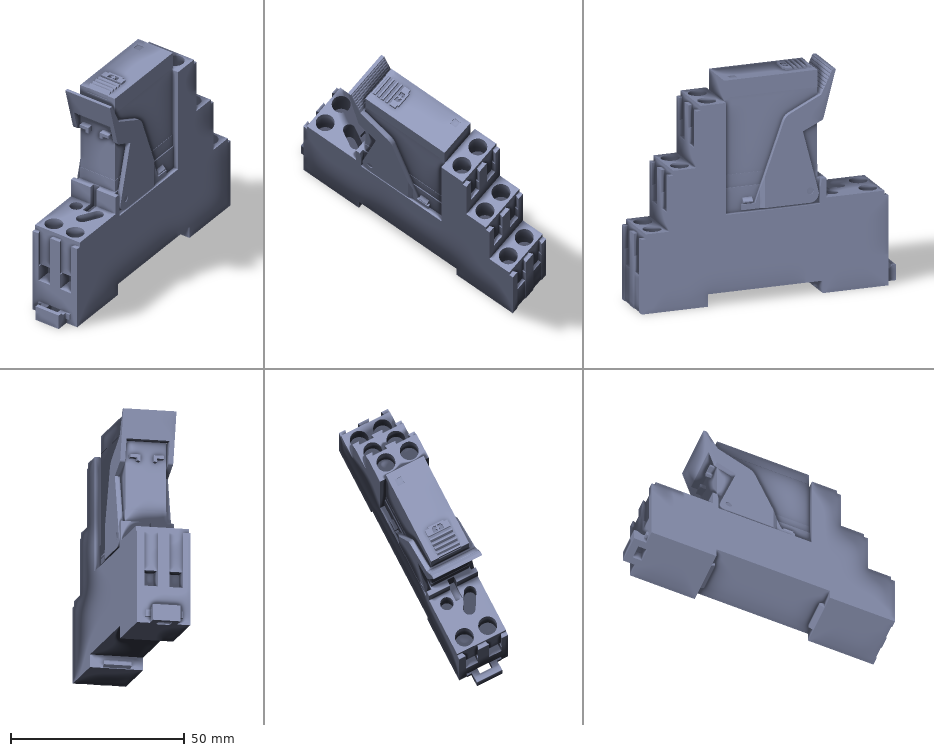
import cadquery as cq
import math

width = 15.8
half_width = width / 2
rear_y = 40.1
front_y = -36.2
lip_depth = 1.3
lip_drop = 1.5
front_terrace_z = 28.85
rear_terraces = [(rear_y, 24.1), (31.6, 42.4), (23.2, 61.1)]
bay_rear_y = 14.0
bay_front_y = -15.2
bay_floor_z = 27.2
wall_front_y = -17.1
wall_top_z = 34.7
wall_slot_width = 2.2
wall_slot_front_y = -20.8
core_half_width = 6.4
rail_rear_y = 19.6
rail_front_y = -15.95
rail_height = 3.8

terminal_x = 3.8
screw_hole_diameter = 5.45
screw_hole_depth = 8.0
screw_setback = 4.8
wire_slot_width = 4.0
wire_slot_inner_width = 5.0
wire_pocket_bottom_z = 11.0
wire_pocket_top_z = 15.9
wire_pocket_depth = 4.8
rear_wire_slot_height = 11.6
rear_groove_depth = 0.25
test_hole_y = -20.3
test_hole_diameter = 3.85
test_slot_width = 3.6
test_slot_end = (1.4, -24.5)

relay_width = 12.3
relay_rear_y = 13.9
relay_front_y = -15.0
relay_base_top_z = 38.6
relay_cap_bottom_z = 62.0
relay_top_z = 67.25
seam_step = 0.1
indicator_x = -3.45
mark_depth = 0.2
indicator_size = 2.2
indicator_y = 10.3
hook_length = 1.8
hook_inner_x = 2.0
hook_outer_x = 5.05
hook_top_z = 54.8
hook_thickness = 1.0

button_top_z = 68.0
button_width = 7.2
button_rear_y = -5.6
button_front_y = -8.2
ridge_count = 4
ridge_pitch = 1.45
ridge_base = 1.0
ridge_crest = 0.5
first_ridge_y = -9.0
corner_notch_x = 2.5
corner_notch_length = 0.5
window_width = 3.4
window_length = 1.8
window_y = -7.05
window_corner = 0.5
cross_width = 1.45
cross_bar = 0.5
button_mark_height = 1.5

lever_bottom_z = 27.8
lever_foot_z = 29.5
lever_foot_rear_y = 8.9
lever_top_z = 67.4
bridge_bottom_z = 59.1
thin_arm_half_width = 7.4
snap_front_y = 5.45
snap_rear_y = 8.4
arm_slope = (2.0, 3.3)
pivot = (-12.0, 31.4)
pivot_diameter = 2.1
elbow_radius = 4.0
heel_radius = 2.65
chin_radius = 0.8
paddle_neck = (-15.5, 60.2)
paddle_tip = (-18.9, lever_top_z)
grip_groove_count = 7
grip_groove_depth = 0.2
grip_side_margin = 0.25
grip_neck_share = 0.12

latch_width = 8.2
latch_tip_y = -40.1
latch_top_z = 4.7
latch_opening_width = 4.0
latch_bar_rear_y = -37.9
latch_recess_depth = 1.1
latch_recess_top_z = 3.85
latch_ear_span = 11.15
latch_ear_depth = 0.6
latch_ear_bottom_z = 1.85


def block(x0, x1, y0, y1, z0, z1):
    """Box given by its limits along each axis."""
    return cq.Workplane("XY").box(x1 - x0, y1 - y0, z1 - z0, centered=False).translate((x0, y0, z0))


def centred_block(size_x, y0, y1, z0, z1):
    """Box symmetric about the YZ plane."""
    return block(-size_x / 2, size_x / 2, y0, y1, z0, z1)


def side_plate(points, x0, x1):
    """Outline given in (y, z), extruded from x0 to x1."""
    return cq.Workplane("YZ").workplane(offset=x0).polyline(points).close().extrude(x1 - x0)


def both_sides(shape):
    """The shape together with its mirror image across the YZ plane."""
    return shape.union(shape.mirror("YZ"))


def stepped_block():
    """Side outline of the housing, with a lip at the end of every terrace."""
    points = [(front_y, 0), (front_y, front_terrace_z - lip_drop)]
    points += [(front_y + lip_depth, front_terrace_z - lip_drop), (front_y + lip_depth, front_terrace_z)]
    points += [(wall_front_y, front_terrace_z), (wall_front_y, wall_top_z), (bay_rear_y, wall_top_z)]
    points.append((bay_rear_y, rear_terraces[-1][1]))
    for outer_y, top_z in reversed(rear_terraces):
        inner_y = outer_y - lip_depth
        points += [(inner_y, top_z), (inner_y, top_z - lip_drop), (outer_y, top_z - lip_drop)]
        lower = [z for _, z in rear_terraces if z < top_z]
        points.append((outer_y, max(lower, default=0)))
    points += [(rail_rear_y, 0), (rail_rear_y, rail_height), (rail_front_y, rail_height), (rail_front_y, 0)]
    return side_plate(points, -half_width, half_width)


def side_bay():
    """Pocket in the flank beside the relay core; its front edge leans forward near the top."""
    points = [
        (bay_rear_y, bay_floor_z),
        (bay_front_y, bay_floor_z),
        (bay_front_y, 32.3),
        (-15.6, wall_top_z),
        (bay_rear_y, wall_top_z),
    ]
    return both_sides(side_plate(points, core_half_width, half_width))


def wire_slot(x, outer_y, inward, shoulder_z, bottom_z, top_z):
    """Slot through a lip: wider at the back above the shoulder, straight below it."""
    outer_half = wire_slot_width / 2
    inner_half = wire_slot_inner_width / 2
    inner_y = outer_y + inward * lip_depth
    outline = [
        (x - outer_half, outer_y),
        (x + outer_half, outer_y),
        (x + inner_half, inner_y),
        (x - inner_half, inner_y),
    ]
    shoulder = cq.Workplane("XY").workplane(offset=shoulder_z)
    flared = shoulder.polyline(outline).close().extrude(top_z - shoulder_z)
    y_low, y_high = sorted((outer_y, inner_y))
    return flared.union(block(x - outer_half, x + outer_half, y_low, y_high, bottom_z, top_z))


def cut_terminals(body):
    """Screw holes, wire slots and wire pockets of every terminal."""
    pocket_height = wire_pocket_top_z - wire_pocket_bottom_z
    for x in (-terminal_x, terminal_x):
        x0 = x - wire_slot_width / 2
        x1 = x + wire_slot_width / 2
        body = body.cut(wire_slot(x, front_y, 1, wire_pocket_top_z, wire_pocket_bottom_z, front_terrace_z))
        pocket_y = front_y + wire_pocket_depth
        body = body.cut(block(x0, x1, front_y, pocket_y, wire_pocket_bottom_z, wire_pocket_top_z))
        body = body.cut(block(x0, x1, rear_y - rear_groove_depth, rear_y, 0, front_terrace_z))
        body = body.cut(screw_hole(x, front_y + screw_setback, front_terrace_z))
        for outer_y, top_z in rear_terraces:
            bottom_z = top_z - lip_drop - rear_wire_slot_height
            body = body.cut(wire_slot(x, outer_y, -1, bottom_z + pocket_height, bottom_z, top_z))
            body = body.cut(screw_hole(x, outer_y - screw_setback, top_z))
    return body


def screw_hole(x, y, top_z):
    hole = cq.Workplane("XY").circle(screw_hole_diameter / 2).extrude(-screw_hole_depth)
    return hole.translate((x, y, top_z))


def cut_test_openings(body):
    """Round hole and slanted slot in the front terrace, and the slot through the front wall."""
    top = cq.Workplane("XY").workplane(offset=front_terrace_z)
    hole = top.center(-terminal_x, test_hole_y).circle(test_hole_diameter / 2).extrude(-screw_hole_depth)
    run_x = terminal_x - test_slot_end[0]
    run_y = test_hole_y - test_slot_end[1]
    slot_length = math.hypot(run_x, run_y) + test_slot_width
    slot_angle = math.degrees(math.atan2(run_y, run_x))
    middle = (test_slot_end[0] + run_x / 2, test_slot_end[1] + run_y / 2)
    slanted = top.center(*middle).slot2D(slot_length, test_slot_width, slot_angle)
    slanted = slanted.extrude(-screw_hole_depth)
    wall_slot = centred_block(wall_slot_width, wall_slot_front_y, bay_front_y, bay_floor_z, wall_top_z)
    return body.cut(hole).cut(slanted).cut(wall_slot)


def rail_catches():
    """Hooked noses that grip the mounting rail at both ends of its channel."""
    rear = [
        (rail_rear_y, 2.25),
        (18.75, 2.2),
        (18.0, 1.7),
        (18.0, 0.7),
        (rail_rear_y, 0.2),
    ]
    front = [
        (rail_front_y, rail_height),
        (-15.4, rail_height),
        (-15.4, 2.5),
        (-14.7, 2.5),
        (-14.7, 1.3),
        (rail_front_y, 0.6),
    ]
    rear_nose = side_plate(rear, -latch_width / 2, latch_width / 2)
    return rear_nose.union(side_plate(front, -latch_width / 2, latch_width / 2))


def latch_recess():
    """Shallow recess in the front face behind the opening of the latch."""
    return centred_block(latch_opening_width, front_y, front_y + latch_recess_depth, 0, latch_recess_top_z)


def rail_latch():
    """Pull tab of the latch: two arms, a raised bar and a pair of ears."""
    profile = [
        (front_y, 0),
        (front_y, rail_height),
        (latch_bar_rear_y, rail_height),
        (-38.9, latch_top_z),
        (latch_tip_y, latch_top_z),
        (latch_tip_y, 0),
    ]
    tab = side_plate(profile, -latch_width / 2, latch_width / 2)
    tab = tab.cut(centred_block(latch_opening_width, latch_bar_rear_y, front_y, 0, latch_top_z))
    ear_x = latch_opening_width / 2
    ear_y = front_y - latch_ear_depth
    ear = block(ear_x, latch_ear_span / 2, ear_y, front_y, latch_ear_bottom_z, rail_height)
    return tab.union(both_sides(ear))


def relay():
    """Plug-in relay: base, slightly narrower case and cap, with two L-shaped hooks in front."""
    base = centred_block(relay_width, relay_front_y, relay_rear_y, wall_top_z, relay_base_top_z)
    case = centred_block(
        relay_width - 2 * seam_step,
        relay_front_y + seam_step,
        relay_rear_y,
        relay_base_top_z,
        relay_cap_bottom_z,
    )
    cap = centred_block(relay_width, relay_front_y, relay_rear_y, relay_cap_bottom_z, relay_top_z)
    indicator = block(
        indicator_x - indicator_size / 2,
        indicator_x + indicator_size / 2,
        indicator_y - indicator_size / 2,
        indicator_y + indicator_size / 2,
        relay_top_z - mark_depth,
        relay_top_z,
    )
    button_mark = centred_block(
        button_width,
        relay_front_y,
        relay_front_y + mark_depth,
        relay_top_z - button_mark_height,
        relay_top_z,
    )
    body = base.union(case).union(cap).cut(indicator).cut(button_mark)
    hook_y = relay_front_y - hook_length
    hook_bottom_z = hook_top_z - hook_thickness
    hook_back_y = relay_front_y + seam_step
    arm = block(hook_inner_x, hook_outer_x, hook_y, hook_back_y, hook_bottom_z, hook_top_z)
    toe_z = hook_bottom_z - hook_thickness
    toe = block(hook_inner_x, hook_inner_x + hook_thickness, hook_y, hook_back_y, toe_z, hook_top_z)
    return body.union(both_sides(arm.union(toe)))


def test_button():
    """Grip pad with a small window, followed by cross ridges that slope down to the front."""
    pad = centred_block(button_width, button_front_y, button_rear_y, relay_top_z, button_top_z)
    notch_y = button_rear_y - corner_notch_length
    notch = block(corner_notch_x, button_width / 2, notch_y, button_rear_y, relay_top_z, button_top_z)
    window_front_y = window_y - window_length / 2
    window_rear_y = window_y + window_length / 2
    window = centred_block(window_width, window_front_y, window_rear_y, relay_top_z, button_top_z)
    window = window.edges("|Z and >Y").chamfer(window_corner)
    bar_front_y = window_y - cross_bar / 2
    bar = centred_block(cross_width, bar_front_y, bar_front_y + cross_bar, relay_top_z, button_top_z)
    stem = centred_block(cross_bar, window_front_y, window_rear_y, relay_top_z, button_top_z)
    pad = pad.cut(both_sides(notch)).cut(window.cut(bar).cut(stem))
    for i in range(ridge_count):
        y = first_ridge_y - i * ridge_pitch
        profile = [
            (y, relay_top_z),
            (y, button_top_z),
            (y - ridge_crest, button_top_z),
            (y - ridge_base, relay_top_z),
        ]
        pad = pad.union(side_plate(profile, -button_width / 2, button_width / 2))
    return pad


def lever_profile(x0, x1):
    """Side outline of the lever from its foot up to the finger paddle."""
    points = [
        (lever_foot_rear_y, lever_bottom_z),
        (lever_foot_rear_y, lever_foot_z),
        (4.8, lever_foot_z),
        (-4.4, 54.8),
        paddle_neck,
        paddle_tip,
        (-19.95, lever_top_z),
        (-16.0, 52.6),
        (-9.8, 49.7),
        (-15.5, lever_bottom_z),
    ]
    plate = side_plate(points, x0, x1)
    elbow, chin, heel = points[3], points[7], points[9]
    for corner, radius in ((elbow, elbow_radius), (chin, chin_radius), (heel, heel_radius)):
        edge = cq.selectors.NearestToPointSelector(((x0 + x1) / 2, *corner))
        plate = plate.edges(edge).fillet(radius)
    return plate


def grip_grooves():
    """V-grooves across the rear face of the paddle, stopping short of its sides."""
    run_y = paddle_tip[0] - paddle_neck[0]
    run_z = paddle_tip[1] - paddle_neck[1]
    length = math.hypot(run_y, run_z)
    depth_y = -run_z / length * grip_groove_depth
    depth_z = run_y / length * grip_groove_depth
    groove_half = half_width - grip_side_margin
    grooves = cq.Workplane("XY")
    for i in range(grip_groove_count):
        corners = []
        for step in (i + 0.25, i + 0.5, i + 0.75):
            share = grip_neck_share + (1 - grip_neck_share) * step / grip_groove_count
            corners.append((paddle_neck[0] + share * run_y, paddle_neck[1] + share * run_z))
        start, (middle_y, middle_z), end = corners
        root = (middle_y + depth_y, middle_z + depth_z)
        grooves = grooves.add(side_plate([start, root, end], -groove_half, groove_half))
    return grooves.combine()


def lever():
    """Two side arms joined by the paddle in front of the relay."""
    arm = lever_profile(core_half_width, half_width)
    thinning = [
        (half_width, arm_slope[0]),
        (thin_arm_half_width, arm_slope[1]),
        (thin_arm_half_width, lever_foot_rear_y),
        (half_width, lever_foot_rear_y),
    ]
    arm = arm.cut(cq.Workplane("XY").polyline(thinning).close().extrude(lever_top_z))
    pivot_mark = cq.Workplane("YZ").workplane(offset=half_width).center(*pivot)
    arm = arm.cut(pivot_mark.circle(pivot_diameter / 2).extrude(-mark_depth))
    snap = [
        (core_half_width, lever_foot_z),
        (core_half_width, 31.3),
        (thin_arm_half_width, 30.3),
        (thin_arm_half_width, 30.0),
        (7.05, lever_foot_z),
    ]
    nub = cq.Workplane("XZ").workplane(offset=-snap_rear_y).polyline(snap).close()
    arm = arm.union(nub.extrude(snap_rear_y - snap_front_y))
    paddle_zone = centred_block(width, latch_tip_y, relay_front_y, bridge_bottom_z, lever_top_z)
    paddle = lever_profile(-half_width, half_width).intersect(paddle_zone)
    return both_sides(arm).union(paddle).cut(grip_grooves())


housing = cut_test_openings(cut_terminals(stepped_block().cut(side_bay())))
housing = housing.cut(latch_recess())
housing = housing.union(rail_catches()).union(rail_latch())
result = housing.union(relay()).union(test_button()).union(lever())